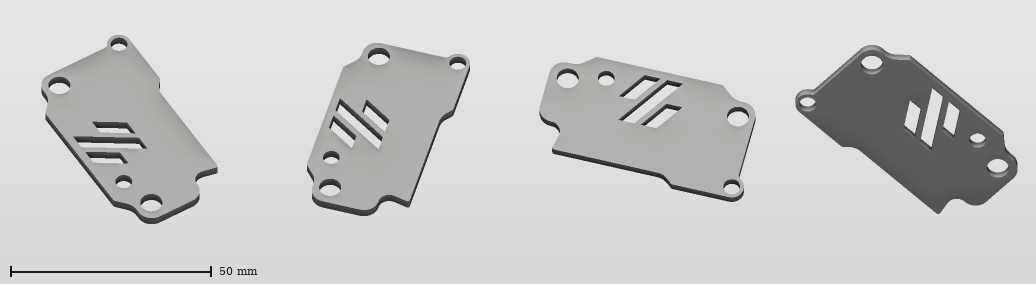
import cadquery as cq
import math

length = 54.95
width = 30.15
thickness = 2.4

left_wall_x = 2.15
shoulder_y = 3.35
upper_edge_y = 27.85
notch_floor_y = 20.45

tab_center_x = 28.4
tab_half_width = 16.25
tab_root_half_width = 20.05

step_top_x = 17.8
step_bottom_x = 20.4

notch_top_x = 49.2
notch_bottom_x = 47.55

ear_radius = 3.0
ear_neck_radius = 1.1
corner_radius = 3.75
slope_root_radius = 4.4
slope_tip_radius = 1.0
notch_tip_radius = 0.55
notch_root_radius = 2.75

small_hole_diameter = 4.2
large_hole_diameter = 5.5
large_hole_y = 7.65
large_hole_xs = (6.35, 50.1)
sensor_hole_center = (40.8, 5.3)

slot_width = 4.05
slot_lean = 0.655
short_slot_height = 7.3
long_slot_height = 13.8
slots_bottom_y = 2.05
slots_top_y = slots_bottom_y + long_slot_height
left_slot_x = 20.45
middle_slot_x = 21.9
right_slot_x = 27.7

ear_x = ear_radius
ear_y = width - ear_radius


def rounded_corner(previous, corner, following, radius):
    """Return the start, middle and end of a tangent arc at a corner."""
    px, py = previous[0] - corner[0], previous[1] - corner[1]
    fx, fy = following[0] - corner[0], following[1] - corner[1]
    p_len, f_len = math.hypot(px, py), math.hypot(fx, fy)
    px, py, fx, fy = px / p_len, py / p_len, fx / f_len, fy / f_len
    half_angle = math.acos(px * fx + py * fy) / 2
    setback = radius / math.tan(half_angle)
    mid_distance = radius / math.sin(half_angle) - radius
    bx, by = px + fx, py + fy
    b_len = math.hypot(bx, by)
    start = (corner[0] + setback * px, corner[1] + setback * py)
    middle = (corner[0] + mid_distance * bx / b_len, corner[1] + mid_distance * by / b_len)
    end = (corner[0] + setback * fx, corner[1] + setback * fy)
    return start, middle, end


def make_plate():
    """Build the plate, running counter-clockwise from the neck below the ear."""
    neck_x = left_wall_x - ear_neck_radius
    center_distance = ear_radius + ear_neck_radius
    neck_y = ear_y - math.sqrt(center_distance**2 - (ear_x - neck_x) ** 2)
    neck_angle = math.atan2(ear_y - neck_y, ear_x - neck_x)

    def on_neck(angle):
        return (
            neck_x + ear_neck_radius * math.cos(angle),
            neck_y + ear_neck_radius * math.sin(angle),
        )

    neck_start = (left_wall_x, neck_y)
    ear_top = (ear_x, width)
    corners = [
        (left_wall_x, shoulder_y, corner_radius),
        (tab_center_x - tab_root_half_width, shoulder_y, slope_root_radius),
        (tab_center_x - tab_half_width, 0, slope_tip_radius),
        (tab_center_x + tab_half_width, 0, slope_tip_radius),
        (tab_center_x + tab_root_half_width, shoulder_y, slope_root_radius),
        (length, shoulder_y, corner_radius),
        (length, notch_floor_y, corner_radius),
        (notch_bottom_x, notch_floor_y, notch_root_radius),
        (notch_top_x, upper_edge_y, notch_tip_radius),
        (step_bottom_x, upper_edge_y, slope_root_radius),
        (step_top_x, width, slope_tip_radius),
    ]
    points = [neck_start] + [(x, y) for x, y, _ in corners] + [ear_top]

    outline = cq.Workplane("XY").moveTo(*neck_start)
    for index, (x, y, radius) in enumerate(corners):
        start, middle, end = rounded_corner(points[index], (x, y), points[index + 2], radius)
        outline = outline.lineTo(*start).threePointArc(middle, end)
    outline = (
        outline.lineTo(*ear_top)
        .threePointArc((0, ear_y), on_neck(neck_angle))
        .threePointArc(on_neck(neck_angle / 2), neck_start)
        .close()
    )
    return outline.extrude(thickness)


def make_holes(centers, diameter):
    return cq.Workplane("XY").pushPoints(centers).circle(diameter / 2).extrude(thickness)


def make_slot(x, y, height):
    """Build a slanted slot cutter from its lower-left corner."""
    shift = slot_lean * height
    corners = [
        (x, y),
        (x + slot_width, y),
        (x + slot_width + shift, y + height),
        (x + shift, y + height),
    ]
    return cq.Workplane("XY").polyline(corners).close().extrude(thickness)


result = make_plate()
result = result.cut(make_holes([(ear_x, ear_y), sensor_hole_center], small_hole_diameter))
result = result.cut(make_holes([(x, large_hole_y) for x in large_hole_xs], large_hole_diameter))
result = result.cut(make_slot(left_slot_x, slots_top_y - short_slot_height, short_slot_height))
result = result.cut(make_slot(middle_slot_x, slots_bottom_y, long_slot_height))
result = result.cut(make_slot(right_slot_x, slots_bottom_y, short_slot_height))